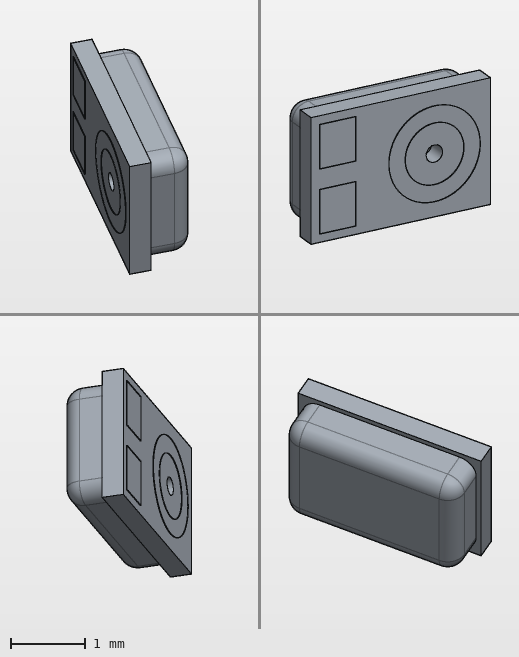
import cadquery as cq


board_length = 2.75
board_height = 1.85
board_thickness = 0.3

contact_thickness = 0.01
pad_width = 0.55
pad_height = 0.65
pad_gap = 0.3
pad_side_inset = 0.132
ring_outer_diameter = 1.4
ring_inner_diameter = 0.9

port_diameter = 0.25
port_x = 0.515

lid_border = 0.075
lid_depth = 0.6
lid_radius = 0.25

pad_x = -board_length / 2 + pad_side_inset + pad_width / 2
pad_z = (pad_gap + pad_height) / 2
lid_length = board_length - 2 * lid_border
lid_height = board_height - 2 * lid_border


def plane_at(y):
    """Plane parallel to XZ whose extrusions grow toward +Y; its local y runs along -Z."""
    return cq.Workplane(cq.Plane(origin=(0, y, 0), xDir=(1, 0, 0), normal=(0, 1, 0)))


def make_pads():
    """Two rectangular contacts, one above and one below the middle of the board."""
    return (
        plane_at(-contact_thickness)
        .pushPoints([(pad_x, pad_z), (pad_x, -pad_z)])
        .rect(pad_width, pad_height)
        .extrude(contact_thickness)
    )


def make_ring():
    """Annular contact around the sound port."""
    return (
        plane_at(-contact_thickness)
        .center(port_x, 0)
        .circle(ring_outer_diameter / 2)
        .circle(ring_inner_diameter / 2)
        .extrude(contact_thickness)
    )


def make_port():
    """Cutter for the sound port, which passes right through the board."""
    return plane_at(0).center(port_x, 0).circle(port_diameter / 2).extrude(board_thickness)


def make_board():
    """Board with its raised contacts and the sound port."""
    plate = plane_at(0).rect(board_length, board_height).extrude(board_thickness)
    return plate.union(make_pads()).union(make_ring()).cut(make_port())


def make_lid():
    """Lid with equally rounded corners and +Y rim, seated on the board."""
    block = plane_at(board_thickness).rect(lid_length, lid_height).extrude(lid_depth)
    return block.edges("|Y").fillet(lid_radius).faces(">Y").edges().fillet(lid_radius)


board = make_board()
lid = make_lid()

result = cq.Compound.makeCompound([board.solids().val(), lid.solids().val()])